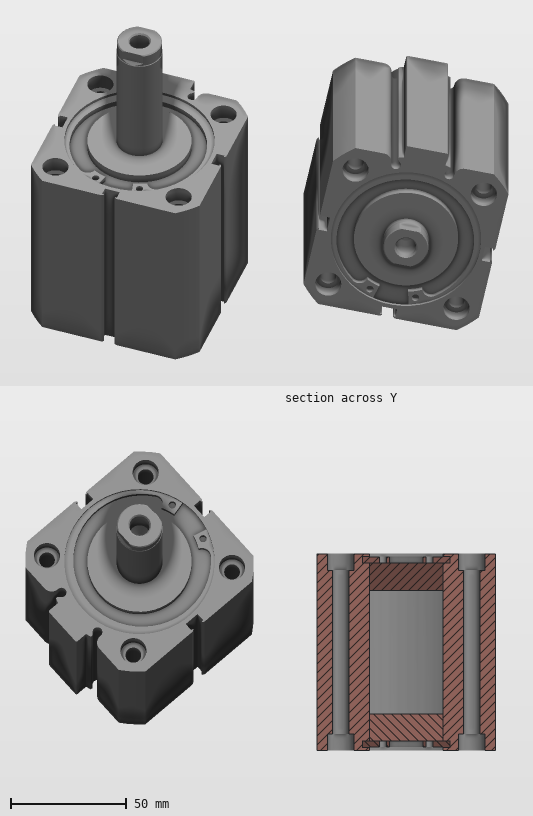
import cadquery as cq
import math


body_width = 77.5
body_height = 85.0
corner_setback = 8.2
half_width = body_width / 2
corner_radius = math.hypot(half_width, half_width - corner_setback)
bore_radius = 32.5

bolt_pitch = 56.6
bolt_hole_diameter = 6.8
counterbore_diameter = 11.3
counterbore_depth = 7.1

ring_depth = 1.4
ring_thickness = 2.5
groove_radius = 34.0
ring_inner_radius = 29.7
ring_inner_offset = 1.5
ear_inner_radius = 26.3
ear_start_angle = 14
ear_end_angle = 27.5
ear_hole_diameter = 3.2
ear_hole_radius = 29.5
ear_hole_angle = 20
ear_fillet = 3.8

slot_width = 6.8
slot_half_width = slot_width / 2
slot_mouth_width = 5.0
slot_lip_half_width = slot_mouth_width / 2
slot_lip_start = 0.53
slot_lip_end = 0.9
groove_web = 0.23
slot_floor = groove_radius + groove_web

total_depth = 83.0
tab_top = total_depth - half_width
tab_half_width = 9.2
tab_corner_fillet = 0.6
lip_reach = 2.3
lip_top_drop = 0.8
lip_bottom_drop = 1.7
undercut_radius = 2.1
undercut_x = 11.8
undercut_y = 34.5
undercut_fillet = 4.1

cover_thickness = 12.1
boss_radius = 22.5
cover_depth = ring_depth + ring_thickness

rod_length = 151.0
rod_radius = 10.0
rod_lower_end = -8.0
rod_middle = rod_lower_end + rod_length / 2
neck_length = 6.0
shoulder_step = 0.23
neck_radius = rod_radius - shoulder_step
neck_chamfer = 0.5
across_flats = 17.0
flat_half_width = across_flats / 2
rod_hole_radius = 4.4
rod_hole_depth = 15.1
rod_hole_chamfer = 0.6
drill_tip_angle = 118


def polar(radius, angle):
    """Point at a radius, with the angle in degrees measured from -Y toward +X."""
    turn = math.radians(angle)
    return (radius * math.sin(turn), -radius * math.cos(turn))


def mirror_to_lower_end(shape):
    """Copy of an upper-end feature at the lower end of the housing."""
    return shape.mirror("XY", (0, 0, body_height / 2))


def make_sensor_slot():
    """Lipped slot through the full height, opening toward -Y."""
    face = -half_width
    right_side = [
        (slot_half_width, face),
        (slot_lip_half_width, face + slot_lip_start),
        (slot_lip_half_width, face + slot_lip_end),
        (slot_half_width, face + slot_lip_end),
        (slot_half_width, -slot_floor),
    ]
    left_side = [(-x, y) for x, y in reversed(right_side)]
    return cq.Workplane("XY").polyline(right_side + left_side).close().extrude(body_height)


def make_undercut():
    """Rounded channel beside the +X flank of the tab, under the tab's pointed lip."""
    lip_x = tab_half_width + lip_reach
    wall_x = undercut_x + undercut_radius
    diagonal = undercut_radius * math.sqrt(0.5)
    fillet_x = wall_x + undercut_fillet
    fillet_y = half_width - undercut_fillet
    fillet_reach = undercut_fillet * math.sqrt(0.5)
    return (
        cq.Workplane("XY")
        .moveTo(tab_half_width, half_width)
        .lineTo(lip_x, half_width - lip_top_drop)
        .lineTo(lip_x, half_width - lip_bottom_drop)
        .lineTo(undercut_x - diagonal, undercut_y + diagonal)
        .threePointArc((undercut_x, undercut_y - undercut_radius), (wall_x, undercut_y))
        .lineTo(wall_x, fillet_y)
        .threePointArc((fillet_x - fillet_reach, fillet_y + fillet_reach), (fillet_x, half_width))
        .close()
        .extrude(body_height)
    )


def make_housing():
    """Square block with rounded-off corners, tab, slots, bore, grooves and bolt holes."""
    block = cq.Workplane("XY").rect(body_width, body_width).extrude(body_height)
    housing = block.intersect(cq.Workplane("XY").circle(corner_radius).extrude(body_height))

    tab = (
        cq.Workplane("XY")
        .moveTo(0, (undercut_y + tab_top) / 2)
        .rect(2 * tab_half_width, tab_top - undercut_y)
        .extrude(body_height)
        .edges("|Z and >Y")
        .fillet(tab_corner_fillet)
    )
    undercut = make_undercut()
    housing = housing.union(tab).cut(undercut).cut(undercut.mirror("YZ"))

    slot = make_sensor_slot()
    for angle in (-90, 0, 90):
        housing = housing.cut(slot.rotate((0, 0, 0), (0, 0, 1), angle))

    housing = housing.cut(cq.Workplane("XY").circle(bore_radius).extrude(body_height))
    groove = (
        cq.Workplane("XY", origin=(0, 0, body_height - cover_depth))
        .circle(groove_radius)
        .extrude(ring_thickness)
    )
    housing = housing.cut(groove).cut(mirror_to_lower_end(groove))

    bolt_holes = (
        cq.Workplane("XY")
        .rect(bolt_pitch, bolt_pitch, forConstruction=True)
        .vertices()
        .circle(bolt_hole_diameter / 2)
        .extrude(body_height)
    )
    counterbores = (
        cq.Workplane("XY", origin=(0, 0, body_height - counterbore_depth))
        .rect(bolt_pitch, bolt_pitch, forConstruction=True)
        .vertices()
        .circle(counterbore_diameter / 2)
        .extrude(counterbore_depth)
    )
    return housing.cut(bolt_holes).cut(counterbores).cut(mirror_to_lower_end(counterbores))


def make_cover():
    """Upper end cover: a disc under the ring, with a boss flush with the housing."""
    cover_top = body_height - cover_depth
    disc = (
        cq.Workplane("XY", origin=(0, 0, cover_top - cover_thickness))
        .circle(bore_radius)
        .extrude(cover_thickness)
    )
    boss = cq.Workplane("XY", origin=(0, 0, cover_top)).circle(boss_radius).extrude(cover_depth)
    rod_hole = cq.Workplane("XY").circle(rod_radius).extrude(body_height)
    return disc.union(boss).cut(rod_hole)


def make_ear():
    """Plier ear of the retaining ring on the +X side of the ring's gap."""
    middle_angle = (ear_start_angle + ear_end_angle) / 2
    return (
        cq.Workplane("XY")
        .moveTo(*polar(ear_inner_radius, ear_start_angle))
        .threePointArc(polar(ear_inner_radius, middle_angle), polar(ear_inner_radius, ear_end_angle))
        .lineTo(*polar(groove_radius, ear_end_angle))
        .threePointArc(polar(groove_radius, middle_angle), polar(groove_radius, ear_start_angle))
        .close()
        .extrude(ring_thickness)
    )


def make_retaining_ring():
    """Upper retaining ring, thinner toward -Y, where two eared ends leave a gap."""
    ring = (
        cq.Workplane("XY")
        .circle(groove_radius)
        .moveTo(0, -ring_inner_offset)
        .circle(ring_inner_radius)
        .extrude(ring_thickness)
    )
    gap_reach = 2 * groove_radius
    gap = (
        cq.Workplane("XY")
        .polyline([(0, 0), polar(gap_reach, -ear_start_angle), polar(gap_reach, ear_start_angle)])
        .close()
        .extrude(ring_thickness)
    )
    ear = make_ear()
    ring = ring.cut(gap).union(ear).union(ear.mirror("YZ"))

    root_x, root_y = polar(ring_inner_radius, ear_end_angle)
    for side in (-1, 1):
        root = (side * root_x, root_y, ring_thickness / 2)
        ring = ring.edges(cq.selectors.NearestToPointSelector(root)).fillet(ear_fillet)

    ear_holes = (
        cq.Workplane("XY")
        .pushPoints([polar(ear_hole_radius, -ear_hole_angle), polar(ear_hole_radius, ear_hole_angle)])
        .circle(ear_hole_diameter / 2)
        .extrude(ring_thickness)
    )
    return ring.cut(ear_holes).translate((0, 0, body_height - cover_depth))


def make_rod_end_cut():
    """Material removed from the upper rod end: two wrench flats and a drilled hole."""
    end_z = rod_lower_end + rod_length
    shoulder_z = end_z - neck_length
    flat_profile = [
        (rod_radius, shoulder_z),
        (rod_radius, end_z),
        (flat_half_width, end_z),
        (flat_half_width, shoulder_z + rod_radius - flat_half_width),
    ]
    flat = cq.Workplane("YZ").polyline(flat_profile).close().extrude(rod_radius, both=True)

    tip_depth = rod_hole_radius / math.tan(math.radians(drill_tip_angle / 2))
    hole_profile = [
        (0, end_z),
        (rod_hole_radius + rod_hole_chamfer, end_z),
        (rod_hole_radius, end_z - rod_hole_chamfer),
        (rod_hole_radius, end_z - rod_hole_depth),
        (0, end_z - rod_hole_depth - tip_depth),
    ]
    hole = cq.Workplane("XZ").polyline(hole_profile).close().revolve(360, (0, 0), (0, 1))
    return flat.union(flat.mirror("XZ")).union(hole)


def make_rod():
    """Through rod with a necked, flatted and drilled end at both ends."""
    neck_end = rod_length / 2
    shoulder = neck_end - neck_length
    upper_profile = [
        (rod_radius, shoulder),
        (neck_radius, shoulder + shoulder_step),
        (neck_radius, neck_end - neck_chamfer),
        (neck_radius - neck_chamfer, neck_end),
        (0, neck_end),
    ]
    lower_profile = [(r, -z) for r, z in reversed(upper_profile)]
    rod = (
        cq.Workplane("XZ")
        .polyline(lower_profile + upper_profile)
        .close()
        .revolve(360, (0, 0), (0, 1))
        .translate((0, 0, rod_middle))
    )
    end_cut = make_rod_end_cut()
    return rod.cut(end_cut).cut(end_cut.mirror("XY", (0, 0, rod_middle)))


housing = make_housing()
rod = make_rod()
upper_cover = make_cover()
upper_ring = make_retaining_ring()
covers = [upper_cover, mirror_to_lower_end(upper_cover)]
rings = [upper_ring, mirror_to_lower_end(upper_ring)]

result = cq.Compound.makeCompound([body.val() for body in [housing, rod, *covers, *rings]])